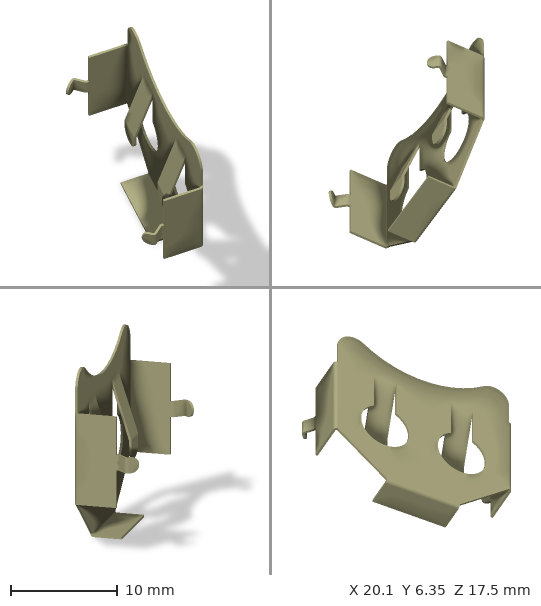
import cadquery as cq
import math

thickness = 0.25
bend_inner_radius = 0.1
bend_outer_radius = bend_inner_radius + thickness
mid_plane_y = -thickness / 2

overall_width = 20.07
overall_depth = 6.35
overall_height = 17.52

plate_half_width = 8.95
plate_bottom_z = bend_outer_radius
lobe_radius = 1.67
notch_bottom_z = 15.07

flange_width = 7.65
flange_depth = 3.05

wall_bottom_z = 4.7
wall_height = 8.9
wall_depth = 4.1
wall_center_z = wall_bottom_z + wall_height / 2

clip_width = 1.53
clip_neck_length = 0.18
clip_angle = 40.0

hole_radius = 2.5
hole_center_x = 4.01
hole_center_z = wall_bottom_z + hole_radius
tongue_width = 2.33
tongue_top_z = 13.73
tongue_tip_z = 5.68
tongue_depth = 2.09
tongue_angle = 18.0
tongue_root_radius = 2.0


def bent_strip(start, heading, steps, width, round_end=False):
    """Strip of sheet bent in the XY plane, extruded symmetrically along Z.

    A step is (length, angle, inner_radius): a straight run, then a bend by `angle` degrees
    (positive turns left). Positions follow the middle of the sheet.
    """
    half = thickness / 2
    x, y = start

    def side_point(px, py, direction, offset):
        """Point at `offset` to the left of the middle line."""
        normal = math.radians(direction + 90)
        return px + offset * math.cos(normal), py + offset * math.sin(normal)

    strip = None
    for length, angle, inner_radius in steps:
        run = math.radians(heading)
        end_x = x + length * math.cos(run)
        end_y = y + length * math.sin(run)
        pieces = []
        if length > 0:
            corners = [
                side_point(x, y, heading, half),
                side_point(end_x, end_y, heading, half),
                side_point(end_x, end_y, heading, -half),
                side_point(x, y, heading, -half),
            ]
            pieces.append(cq.Workplane("XY").polyline(corners).close())
        x, y = end_x, end_y

        if angle:
            turn = math.copysign(1, angle)
            center = side_point(x, y, heading, turn * (inner_radius + half))

            def arc_point(radius, direction):
                return side_point(*center, direction, -turn * radius)

            middle = heading + angle / 2
            after = heading + angle
            outer_radius = inner_radius + thickness
            pieces.append(
                cq.Workplane("XY")
                .moveTo(*arc_point(inner_radius, heading))
                .threePointArc(arc_point(inner_radius, middle), arc_point(inner_radius, after))
                .lineTo(*arc_point(outer_radius, after))
                .threePointArc(arc_point(outer_radius, middle), arc_point(outer_radius, heading))
                .close()
            )
            x, y = arc_point(inner_radius + half, after)
            heading = after

        for piece in pieces:
            solid = piece.extrude(width / 2, both=True)
            strip = solid if strip is None else strip.union(solid)

    if round_end:
        normal_x, normal_y = side_point(0, 0, heading, 1)
        end_plane = cq.Plane(origin=(x, y, 0), xDir=(0, 0, 1), normal=(normal_x, normal_y, 0))
        half_disc = (
            cq.Workplane(end_plane)
            .moveTo(-width / 2, 0)
            .threePointArc((0, width / 2), (width / 2, 0))
            .close()
            .extrude(half, both=True)
        )
        strip = strip.union(half_disc)
    return strip


def upright(strip):
    """Turn a strip so that its X, Y and Z become Y, Z and X."""
    return strip.rotate((0, 0, 0), (1, 1, 1), 120)


def mirrored_pair(solid):
    return solid.union(solid.mirror("YZ"))


def back_plate():
    lobe_x = plate_half_width - lobe_radius
    lobe_z = overall_height - lobe_radius
    drop = lobe_z - notch_bottom_z
    notch_radius = (lobe_x**2 + drop**2 - lobe_radius**2) / (2 * (lobe_radius + drop))
    notch_center_z = notch_bottom_z + notch_radius
    share = lobe_radius / (lobe_radius + notch_radius)
    tangent_x = lobe_x * (1 - share)
    tangent_z = lobe_z + (notch_center_z - lobe_z) * share

    plate = (
        cq.Workplane("XZ")
        .moveTo(-flange_width / 2, plate_bottom_z)
        .lineTo(flange_width / 2, plate_bottom_z)
        .lineTo(plate_half_width, wall_bottom_z)
        .lineTo(plate_half_width, lobe_z)
        .threePointArc((lobe_x, overall_height), (tangent_x, tangent_z))
        .threePointArc((0, notch_bottom_z), (-tangent_x, tangent_z))
        .threePointArc((-lobe_x, overall_height), (-plate_half_width, lobe_z))
        .lineTo(-plate_half_width, wall_bottom_z)
        .close()
        .extrude(thickness)
    )
    centers_x = [-hole_center_x, hole_center_x]
    holes = (
        cq.Workplane("XZ")
        .pushPoints([(x, hole_center_z) for x in centers_x])
        .circle(hole_radius)
        .extrude(thickness)
    )
    slot_height = tongue_top_z - hole_center_z
    slots = (
        cq.Workplane("XZ")
        .pushPoints([(x, hole_center_z + slot_height / 2) for x in centers_x])
        .rect(tongue_width, slot_height)
        .extrude(thickness)
    )
    return plate.cut(holes).cut(slots)


def bottom_flange():
    steps = [(0, -90, bend_inner_radius), (flange_depth - bend_outer_radius, 0, 0)]
    return upright(bent_strip((mid_plane_y, plate_bottom_z), -90, steps, flange_width))


def left_wall():
    steps = [(0, 90, bend_inner_radius), (wall_depth - bend_outer_radius, 0, 0)]
    wall = bent_strip((-plate_half_width, mid_plane_y), 180, steps, wall_height)
    return wall.translate((0, 0, wall_center_z))


def left_clip():
    sine = math.sin(math.radians(clip_angle))
    cosine = math.cos(math.radians(clip_angle))
    wall_outer_x = plate_half_width + bend_outer_radius
    bends_out = (bend_inner_radius + bend_outer_radius) * (1 - cosine)
    first_leg = (overall_width / 2 - wall_outer_x - bends_out) / sine
    bends_forward = (bend_inner_radius + 2 * bend_outer_radius) * sine
    legs_forward = overall_depth - wall_depth - clip_neck_length - bends_forward
    second_leg = legs_forward / cosine - first_leg
    steps = [
        (clip_neck_length, -clip_angle, bend_inner_radius),
        (first_leg, 2 * clip_angle, bend_inner_radius),
        (second_leg - clip_width / 2, 0, 0),
    ]
    start = (-wall_outer_x + thickness / 2, -wall_depth)
    clip = bent_strip(start, -90, steps, clip_width, round_end=True)
    return clip.translate((0, 0, wall_center_z))


def left_tongue():
    sine = math.sin(math.radians(tongue_angle))
    cosine = math.cos(math.radians(tongue_angle))
    bend_radii = tongue_root_radius + bend_outer_radius
    slope = (tongue_depth - thickness - bend_radii * (1 - cosine)) / sine
    bends_down = bend_radii * sine
    tip_length = tongue_top_z - tongue_tip_z - bends_down - slope * cosine
    steps = [
        (0, -tongue_angle, tongue_root_radius),
        (slope, tongue_angle, bend_inner_radius),
        (tip_length - tongue_width / 2, 0, 0),
    ]
    strip = bent_strip((mid_plane_y, tongue_top_z), -90, steps, tongue_width, round_end=True)
    return upright(strip).translate((-hole_center_x, 0, 0))


result = (
    back_plate()
    .union(bottom_flange())
    .union(mirrored_pair(left_wall().union(left_clip())))
    .union(mirrored_pair(left_tongue()))
)